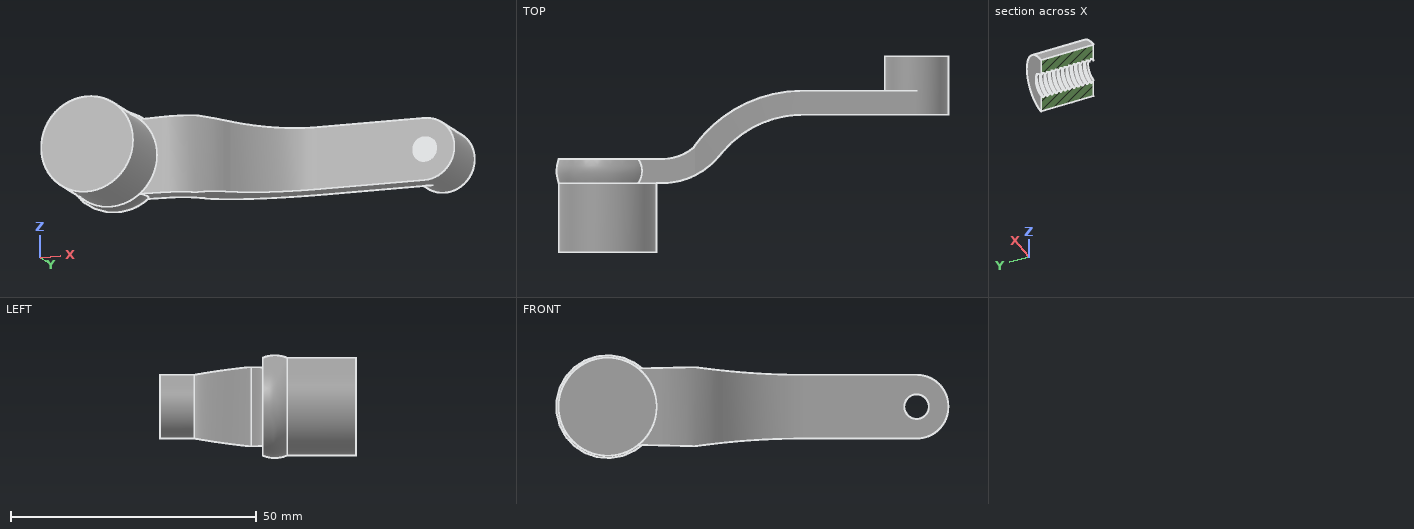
import cadquery as cq
import math

drum_diameter = 20.0
drum_length = 14.1
flange_diameter = 21.0
arm_thickness = 4.95
hub_diameter = 13.0
total_length = 79.95
total_depth = 40.0
hub_length = 12.0

lower_bend_start = 11.1
lower_bend_inner_radius = 10.0
upper_bend_inner_radius = 21.35
slope_length = 1.6

back_lower_bend_angle = math.radians(40)
back_upper_bend_radius = 27.2

root_width = 15.35
widest_width = 16.15
widest_x = 17.8

thread_minor_diameter = 4.95
thread_major_diameter = 6.0
thread_pitch = 1.0
thread_mouth = 0.9
thread_root = 0.15

hub_x = total_length - flange_diameter / 2 - hub_diameter / 2
hub_front = total_depth - hub_length
arm_back = drum_length + arm_thickness
lower_bend_outer_radius = lower_bend_inner_radius + arm_thickness

rise = hub_front - drum_length
radius_sum = lower_bend_outer_radius + upper_bend_inner_radius
bend_angle = (
    math.acos((radius_sum - rise) / math.hypot(radius_sum, slope_length))
    - math.atan2(slope_length, radius_sum)
)
upper_bend_end = (
    lower_bend_start + radius_sum * math.sin(bend_angle) + slope_length * math.cos(bend_angle)
)


def on_arc(center, radius, angle):
    """Point on a circle, with the angle measured from +Y toward +X."""
    return (center[0] + radius * math.sin(angle), center[1] + radius * math.cos(angle))


def cylinder(x, y_start, y_end, diameter):
    """Cylinder along +Y."""
    plane = cq.Plane(origin=(x, y_start, 0), xDir=(1, 0, 0), normal=(0, 1, 0))
    return cq.Workplane(plane).circle(diameter / 2).extrude(y_end - y_start)


def make_flange():
    """Disc with a bulging rim behind the drum."""
    rim_radius = drum_diameter / 2
    return (
        cq.Workplane("XY")
        .moveTo(0, drum_length)
        .lineTo(rim_radius, drum_length)
        .threePointArc((flange_diameter / 2, drum_length + arm_thickness / 2), (rim_radius, arm_back))
        .lineTo(0, arm_back)
        .close()
        .revolve(360, (0, 0, 0), (0, 1, 0))
    )


def make_arm():
    """S-bent bar trimmed to its width profile."""
    lower = (lower_bend_start, drum_length + lower_bend_outer_radius)
    upper = (upper_bend_end, hub_front - upper_bend_inner_radius)
    back_upper = (upper_bend_end, hub_front + arm_thickness - back_upper_bend_radius)
    back_upper_bend_angle = math.asin((upper_bend_end - widest_x) / back_upper_bend_radius)
    half_turn = bend_angle / 2
    side_profile = (
        cq.Workplane("XY")
        .moveTo(0, drum_length)
        .lineTo(lower_bend_start, drum_length)
        .threePointArc(
            on_arc(lower, lower_bend_outer_radius, math.pi - half_turn),
            on_arc(lower, lower_bend_outer_radius, math.pi - bend_angle),
        )
        .lineTo(*on_arc(upper, upper_bend_inner_radius, -bend_angle))
        .threePointArc(on_arc(upper, upper_bend_inner_radius, -half_turn), (upper_bend_end, hub_front))
        .lineTo(hub_x, hub_front)
        .lineTo(hub_x, hub_front + arm_thickness)
        .lineTo(upper_bend_end, hub_front + arm_thickness)
        .threePointArc(
            on_arc(back_upper, back_upper_bend_radius, -back_upper_bend_angle / 2),
            on_arc(back_upper, back_upper_bend_radius, -back_upper_bend_angle),
        )
        .lineTo(*on_arc(lower, lower_bend_inner_radius, math.pi - back_lower_bend_angle))
        .threePointArc(
            on_arc(lower, lower_bend_inner_radius, math.pi - back_lower_bend_angle / 2),
            (lower_bend_start, arm_back),
        )
        .lineTo(0, arm_back)
        .close()
    )
    bar = side_profile.extrude(flange_diameter / 2, both=True)

    taper_length = upper_bend_end - widest_x
    taper_drop = (widest_width - hub_diameter) / 2
    taper_radius = (taper_length**2 + taper_drop**2) / (2 * taper_drop)
    taper_center = (upper_bend_end, hub_diameter / 2 + taper_radius)
    taper_half_turn = math.asin(taper_length / taper_radius) / 2
    taper_middle = on_arc(taper_center, taper_radius, math.pi + taper_half_turn)
    width_profile = (
        cq.Workplane("XZ")
        .moveTo(0, 0)
        .lineTo(0, root_width / 2)
        .lineTo(widest_x, widest_width / 2)
        .threePointArc(taper_middle, (upper_bend_end, hub_diameter / 2))
        .lineTo(hub_x, hub_diameter / 2)
        .lineTo(hub_x, 0)
        .close()
        .extrude(-total_depth)
    )
    return bar.intersect(width_profile.union(width_profile.mirror("XY")))


def make_threaded_bore():
    """Through bore lined with evenly spaced V grooves, as a cutting body."""
    minor_radius = thread_minor_diameter / 2
    major_radius = thread_major_diameter / 2
    groove_count = int(hub_length / thread_pitch)
    outline = cq.Workplane("XY").moveTo(0, hub_front).lineTo(minor_radius, hub_front)
    for index in range(groove_count):
        middle = hub_front + (index + 0.5) * thread_pitch
        outline = (
            outline.lineTo(minor_radius, middle - thread_mouth / 2)
            .lineTo(major_radius, middle - thread_root / 2)
            .lineTo(major_radius, middle + thread_root / 2)
            .lineTo(minor_radius, middle + thread_mouth / 2)
        )
    outline = outline.lineTo(minor_radius, total_depth).lineTo(0, total_depth).close()
    return outline.revolve(360, (0, 0, 0), (0, 1, 0)).translate((hub_x, 0, 0))


drum = cylinder(0, 0, drum_length, drum_diameter)
hub = cylinder(hub_x, hub_front, total_depth, hub_diameter)

result = (
    drum.union(make_flange())
    .union(make_arm())
    .union(hub)
    .cut(make_threaded_bore())
)